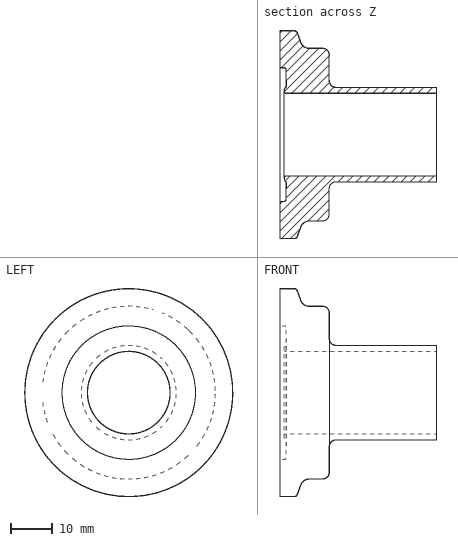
import cadquery as cq
import math


MATCH_TOLERANCE = 1e-4

hub_end = 12.0
total_length = 38.0

flange_radius = 50.5 / 2
hub_radius = 42.0 / 2
tube_radius = 23.0 / 2
bore_radius = 20.0 / 2

cone_start = 4.05
cone_angle = math.radians(20)
cone_end = cone_start + (flange_radius - hub_radius) * math.tan(cone_angle)
flange_rim_fillet = 0.75
cone_root_fillet = 2.0
hub_edge_fillet = 1.7
tube_root_fillet = 1.6

recess_radius = 32.4 / 2
recess_depth = 1.42
recess_fillet = 0.3

groove_mouth_radius = 13.5
groove_blend_radius = 13.0
groove_bottom_radius = 12.4
lip_blend_radius = 11.1
lip_tip_radius = 10.8
hollow_radius = 2.0
lip_inner_fillet = 0.5

edge_slope = math.asin((groove_blend_radius - groove_bottom_radius) / hollow_radius)
lip_slope = math.asin((groove_bottom_radius - lip_blend_radius) / hollow_radius)
edge_arc_radius = (groove_mouth_radius - groove_blend_radius) / math.sin(edge_slope)
lip_arc_radius = (lip_blend_radius - lip_tip_radius) / math.sin(lip_slope)

groove_bottom = recess_depth + (edge_arc_radius + hollow_radius) * (1 - math.cos(edge_slope))
lip_tip = groove_bottom - (lip_arc_radius + hollow_radius) * (1 - math.cos(lip_slope))


def revolve_about_x(profile):
    return profile.close().revolve(360, (0, 0, 0), (1, 0, 0))


def make_body():
    outline = [
        (0, 0),
        (0, flange_radius),
        (cone_start, flange_radius),
        (cone_end, hub_radius),
        (hub_end, hub_radius),
        (hub_end, tube_radius),
        (total_length, tube_radius),
        (total_length, 0),
    ]
    return revolve_about_x(cq.Workplane("XY").polyline(outline))


def arc_point(center, radius, angle):
    """Point on an arc; the angle is measured from +X towards larger radius."""
    return (center[0] + radius * math.cos(angle), center[1] + radius * math.sin(angle))


def make_face_cut():
    """Space removed from the mating face: the recess, the groove and the front of the lip."""
    edge_center = (recess_depth + edge_arc_radius, groove_mouth_radius)
    hollow_center = (groove_bottom - hollow_radius, groove_bottom_radius)
    lip_center = (lip_tip + lip_arc_radius, lip_tip_radius)

    edge_middle = arc_point(edge_center, edge_arc_radius, math.pi + edge_slope / 2)
    edge_blend = arc_point(hollow_center, hollow_radius, edge_slope)
    lip_blend = arc_point(hollow_center, hollow_radius, -lip_slope)
    lip_middle = arc_point(lip_center, lip_arc_radius, math.pi - lip_slope / 2)

    profile = (
        cq.Workplane("XY")
        .moveTo(0, 0)
        .lineTo(0, recess_radius)
        .lineTo(recess_depth, recess_radius)
        .lineTo(recess_depth, groove_mouth_radius)
        .threePointArc(edge_middle, edge_blend)
        .threePointArc((groove_bottom, groove_bottom_radius), lip_blend)
        .threePointArc(lip_middle, (lip_tip, lip_tip_radius))
        .lineTo(lip_tip, 0)
    )
    return revolve_about_x(profile)


def round_edge(part, position, radius, fillet):
    """Fillet the circular edge at the given position along X and radius."""

    def is_wanted(edge):
        center = edge.arcCenter()
        return abs(center.x - position) < MATCH_TOLERANCE and abs(edge.radius() - radius) < MATCH_TOLERANCE

    return part.edges("%CIRCLE").filter(is_wanted).fillet(fillet)


bore = cq.Workplane("YZ").circle(bore_radius).extrude(total_length)
result = make_body().cut(make_face_cut()).cut(bore)

for position, radius, fillet in [
    (cone_start, flange_radius, flange_rim_fillet),
    (cone_end, hub_radius, cone_root_fillet),
    (hub_end, hub_radius, hub_edge_fillet),
    (hub_end, tube_radius, tube_root_fillet),
    (0, recess_radius, recess_fillet),
    (recess_depth, recess_radius, recess_fillet),
    (lip_tip, bore_radius, lip_inner_fillet),
]:
    result = round_edge(result, position, radius, fillet)